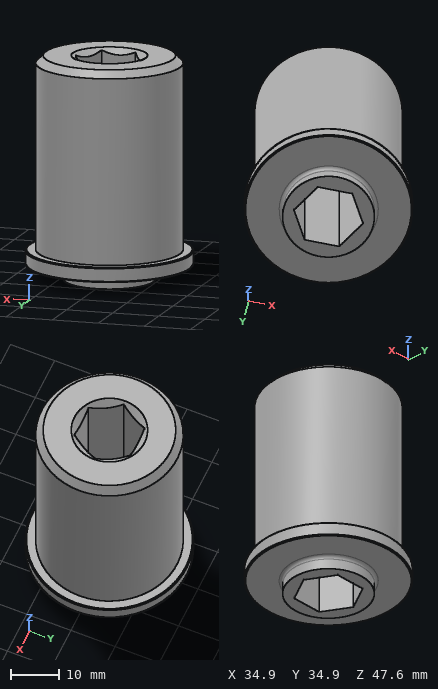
import cadquery as cq
import math

total_height = 47.6
boss_height = 3.2
flange_thickness = 3.2
flange_top = boss_height + flange_thickness

body_diameter = 30.65
flange_diameter = 34.9
boss_diameter = 19.05

body_chamfer = 1.55
flange_chamfer = 0.25
boss_fillet = 0.75

hex_across_flats = 12.7
hex_across_corners = hex_across_flats / math.cos(math.radians(30))
lead_in_diameter = 15.85
lead_in_angle = 40.0


def make_flange():
    """Disc with both rims lightly chamfered."""
    disc = cq.Workplane("XY").workplane(offset=boss_height)
    disc = disc.circle(flange_diameter / 2).extrude(flange_thickness)
    return disc.edges().chamfer(flange_chamfer)


def make_body():
    """Long cylinder with a chamfered top rim."""
    body = cq.Workplane("XY").workplane(offset=flange_top)
    body = body.circle(body_diameter / 2).extrude(total_height - flange_top)
    return body.faces(">Z").edges().chamfer(body_chamfer)


def make_boss():
    """Short bottom boss, flaring by a concave fillet into the flange."""
    radius = boss_diameter / 2
    return (
        cq.Workplane("XZ")
        .lineTo(radius, 0)
        .lineTo(radius, boss_height - boss_fillet)
        .radiusArc((radius + boss_fillet, boss_height), boss_fillet)
        .lineTo(0, boss_height)
        .close()
        .revolve(360, (0, 0), (0, 1))
    )


def make_socket():
    """Hexagonal hole, corners on the X axis, plus its lead-in cone."""
    hexagon = cq.Workplane("XY").polygon(6, hex_across_corners).extrude(total_height)
    lead_in_radius = lead_in_diameter / 2
    lead_in_depth = lead_in_radius * math.tan(math.radians(lead_in_angle))
    cone_tip = cq.Vector(0, 0, total_height - lead_in_depth)
    cone = cq.Solid.makeCone(0, lead_in_radius, lead_in_depth, pnt=cone_tip)
    return hexagon.union(cq.Workplane(cone))


result = make_flange().union(make_body()).union(make_boss()).cut(make_socket())